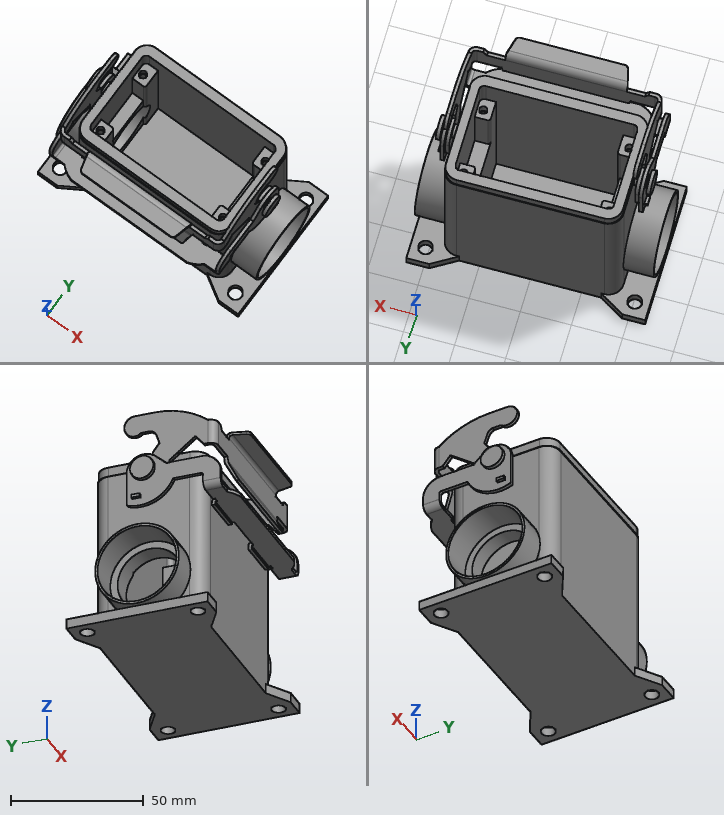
import cadquery as cq
import math

BODY_X, BODY_Y = 69.9, 45.0
BODY_CORNER = 6.0
BODY_TOP = 73.0
RIM_START = 69.0
RIM_INSET = 0.3
CAVITY_X, CAVITY_Y = 61.9, 36.1
CAVITY_CORNER = 2.0

FLANGE_X, FLANGE_Y, FLANGE_T = 93.5, 57.2, 4.0
EAR_X = 9.0
EAR_ROOT_X = 27.75
MOUNT_X, MOUNT_Y, MOUNT_D = 40.95, 22.4, 5.6

POST_INNER_X, POST_INNER_Y = 24.9, 9.9
POST_CORNER = 1.0
POST_TOP = 60.9
SCREW_X, SCREW_Y = 28.6, 13.5
SCREW_D, SCREW_DEPTH = 2.4, 12.0
SCREW_RECESS_D, SCREW_RECESS_DEPTH = 3.1, 4.0

ENTRY_Z = 22.1
ENTRY_OD, ENTRY_BORE, ENTRY_NECK = 34.0, 32.0, 26.1
ENTRY_BORE_DEPTH = 13.0
OPEN_BOSS_X = 25.8
CLOSED_BOSS_X = POST_INNER_X
CLOSED_WALL = 2.0
BOSS_TOP = ENTRY_Z + ENTRY_OD / 2

PIVOT_Z = 66.1
PIN_D = 5.3
HEAD_D, HEAD_T = 9.5, 1.6
HEAD_OUTER_X = 42.0

SHEET = 1.5

LEVER_BEND_OUT = 3.0
LEVER_BEND_IN = LEVER_BEND_OUT - SHEET
LEVER_X = 37.85
LEVER_FRONT_Y = -28.2
LEVER_LOW_Z, LEVER_HIGH_Z = 73.4, 83.4
HOOK_TOP = 91.0
HOOK_Y, HOOK_R = 4.39, 4.35
HOOK_FLAT_Y, BACK_END_Y = -3.56, -25.2
THROAT_TIP_Y = 2.8
THROAT_OUT_Y, THROAT_IN_Y, THROAT_Z = 1.75, -1.9, 83.3
THROAT_MID = (-3.5, 82.3)
THROAT_END = (-4.4, 80.6)
NECK_BACK = (-5.5, 77.4)
NECK_Y, NECK_HIGH_Z, NECK_LOW_Z = -2.8, 73.9, 71.0
GUSSET_FOOT_Y = -23.5
GUSSET_TOP = (-20.1, 77.4)
LOBE_FRONT_Z = 69.1
LOBE_Z, LOBE_R, LOBE_BACK_Y = 65.3, 9.45, 6.0
NOTCH_Z = 81.4
NOTCH_OUT_X, NOTCH_OUT_TOP_X = 30.9, 32.4
THIN_SHEET = 1.15
TAB_TIP_Y, TAB_TOP = -35.88, 84.5
TAB_BEND = 1.4
TAB_ROOT_X, TAB_TIP_X = 23.8, 21.8
FLAP_BEND_Z, FLAP_END_Z, FLAP_END_Y = 71.2, 64.5, -31.5
FLAP_ROOT_X, FLAP_TIP_X = 25.3, 22.6
FLAP_BEND_R = 2.0
GRIP_CORNER = 1.8

BAIL_BEND_OUT = 2.7
BAIL_BEND_IN = BAIL_BEND_OUT - SHEET
BAIL_X = 39.65
BAIL_LOW_Z = 53.85
BAIL_EAR_R, BAIL_EAR_Z = 7.06, 65.8
BAIL_FOOT_Y, BAIL_FOOT_Z, BAIL_FOOT_R = 1.7, 66.0, 14.8
BAIL_HEEL_CORNER = 0.8
SLOPE_END_Y = -9.25
ARM_TOP, ARM_LOW = 67.2, 60.05
ARM_BACK_Y, ARM_FRONT_Y = -23.9, -31.0
ARM_OUT_R, ARM_IN_R = 7.6, 1.0
BULGE_Y = -34.3
BULGE_ROOT_X, BULGE_X = 32.6, 27.0
BULGE_MID_X, BULGE_MID_Y = 30.2, -32.9
STOP_IN_X, STOP_OUT_X, STOP_LOW_Z = 9.8, 27.1, 52.75
STOP_CORNER, STOP_BEND = 0.8, 1.2
RELIEF_X, RELIEF_Y = 29.2, -24.7
RELIEF_CORNER = 0.5
NUB_Y, NUB_Z = (1.4, 4.7), (54.45, 55.7)
NUB_H = 1.3


def block(x0, x1, y0, y1, z0, z1):
    """Axis-aligned box between two opposite corners."""
    return cq.Workplane("XY").box(x1 - x0, y1 - y0, z1 - z0, centered=False).translate((x0, y0, z0))


def rod(x0, x1, y, z, diameter):
    """Cylinder along X."""
    return cq.Workplane("YZ", origin=(x0, 0, 0)).center(y, z).circle(diameter / 2).extrude(x1 - x0)


def both_sides(shape):
    """The shape together with its mirror image across the YZ plane."""
    return shape.union(shape.mirror("YZ"))


def mirrored_outline(half):
    """Closed outline from the points of its +X half."""
    return half + [(-x, v) for x, v in reversed(half)]


def rounded_block(size_x, size_y, z0, z1, radius):
    shape = cq.Workplane("XY", origin=(0, 0, z0)).rect(size_x, size_y).extrude(z1 - z0)
    return shape.edges("|Z").fillet(radius)


def make_flange():
    half_x, half_y, body_y = FLANGE_X / 2, FLANGE_Y / 2, BODY_Y / 2
    front = [(EAR_ROOT_X, -body_y), (half_x - EAR_X, -half_y), (half_x, -half_y)]
    back = [(x, -y) for x, y in reversed(front)]
    outline = mirrored_outline(front + back)
    holes = [(x, y) for x in (-MOUNT_X, MOUNT_X) for y in (-MOUNT_Y, MOUNT_Y)]
    flange = cq.Workplane("XY").polyline(outline).close().extrude(FLANGE_T)
    drills = cq.Workplane("XY").pushPoints(holes).circle(MOUNT_D / 2).extrude(FLANGE_T)
    return flange.cut(drills)


def make_shell():
    shell = rounded_block(BODY_X, BODY_Y, FLANGE_T, RIM_START, BODY_CORNER)
    rim_x, rim_y = BODY_X - 2 * RIM_INSET, BODY_Y - 2 * RIM_INSET
    rim = rounded_block(rim_x, rim_y, RIM_START, BODY_TOP, BODY_CORNER - RIM_INSET)
    return shell.union(rim).cut(make_cavity())


def make_cavity():
    return rounded_block(CAVITY_X, CAVITY_Y, FLANGE_T, BODY_TOP, CAVITY_CORNER)


def make_post(side_x, side_y):
    """Corner post reaching slightly into the walls, with a screw hole in its top."""
    wall_x, wall_y = BODY_X / 2 - RIM_INSET, BODY_Y / 2 - RIM_INSET
    corner = block(POST_INNER_X, wall_x, POST_INNER_Y, wall_y, FLANGE_T, POST_TOP)
    post = corner.edges("|Z and <X and <Y").fillet(POST_CORNER)
    screw_start = cq.Workplane("XY", origin=(SCREW_X, SCREW_Y, POST_TOP))
    post = post.cut(screw_start.circle(SCREW_D / 2).extrude(-SCREW_DEPTH))
    post = post.cut(screw_start.circle(SCREW_RECESS_D / 2).extrude(-SCREW_RECESS_DEPTH))
    if side_x < 0:
        post = post.mirror("YZ")
    if side_y < 0:
        post = post.mirror("XZ")
    return post


def make_posts():
    posts = make_post(1, 1)
    for side_x, side_y in ((-1, 1), (-1, -1), (1, -1)):
        posts = posts.union(make_post(side_x, side_y))
    return posts.intersect(make_cavity())


def add_entries(housing):
    """Open cable entry on -X, blind cable entry on +X."""
    tip, wall = FLANGE_X / 2, CAVITY_X / 2
    seat = tip - ENTRY_BORE_DEPTH
    open_boss = block(-wall, -OPEN_BOSS_X, -POST_INNER_Y, POST_INNER_Y, FLANGE_T, BOSS_TOP)
    closed_end = block(CLOSED_BOSS_X, wall, -CAVITY_Y / 2, CAVITY_Y / 2, FLANGE_T, BOSS_TOP)
    housing = housing.union(open_boss).union(closed_end)
    housing = housing.union(both_sides(rod(wall, tip, 0, ENTRY_Z, ENTRY_OD)))
    housing = housing.cut(both_sides(rod(seat, tip, 0, ENTRY_Z, ENTRY_BORE)))
    housing = housing.cut(rod(-seat, -POST_INNER_X, 0, ENTRY_Z, ENTRY_NECK))
    return housing.cut(rod(CLOSED_BOSS_X + CLOSED_WALL, seat, 0, ENTRY_Z, ENTRY_NECK))


def make_pins():
    inside_wall = (BODY_X + CAVITY_X) / 4
    pin = rod(inside_wall, HEAD_OUTER_X, 0, PIVOT_Z, PIN_D)
    head = rod(HEAD_OUTER_X - HEAD_T, HEAD_OUTER_X, 0, PIVOT_Z, HEAD_D)
    return both_sides(pin.union(head))


def lever_cheek_profile():
    """Hook, front edge and pivot lobe of the lever, as one prism across X."""
    hook_z = HOOK_TOP - HOOK_R
    tip_z = hook_z - math.sqrt(HOOK_R**2 - (HOOK_Y - THROAT_TIP_Y) ** 2)
    lobe_end_z = LOBE_Z - math.sqrt(LOBE_R**2 - LOBE_BACK_Y**2)
    profile = (
        cq.Workplane("YZ", origin=(-LEVER_X, 0, 0))
        .moveTo(HOOK_Y, HOOK_TOP)
        .lineTo(HOOK_FLAT_Y, HOOK_TOP)
        .tangentArcPoint((BACK_END_Y, LEVER_HIGH_Z), relative=False)
        .lineTo(LEVER_FRONT_Y, LEVER_HIGH_Z)
        .lineTo(LEVER_FRONT_Y, LEVER_LOW_Z)
        .lineTo(GUSSET_FOOT_Y, LEVER_LOW_Z)
        .lineTo(*GUSSET_TOP)
        .lineTo(-LOBE_R, LOBE_FRONT_Z)
        .lineTo(-LOBE_R, LOBE_Z)
        .tangentArcPoint((LOBE_BACK_Y, lobe_end_z), relative=False)
        .lineTo(LOBE_BACK_Y, LOBE_Z)
        .tangentArcPoint((NECK_Y, NECK_LOW_Z), relative=False)
        .lineTo(NECK_Y, NECK_HIGH_Z)
        .lineTo(*NECK_BACK)
        .lineTo(*THROAT_END)
        .threePointArc(THROAT_MID, (THROAT_IN_Y, THROAT_Z))
        .lineTo(THROAT_OUT_Y, THROAT_Z)
        .lineTo(THROAT_TIP_Y, tip_z)
        .threePointArc((HOOK_Y + HOOK_R, hook_z), (HOOK_Y, HOOK_TOP))
        .close()
    )
    return profile.extrude(2 * LEVER_X)


def make_grip_tab():
    """Tab at the lever's upper edge, bent forward."""
    bend_y = LEVER_FRONT_Y - TAB_BEND
    low_z = TAB_TOP - THIN_SHEET
    back_y = LEVER_FRONT_Y + SHEET
    back_bend = TAB_BEND + SHEET
    strip = (
        cq.Workplane("YZ", origin=(-LEVER_X, 0, 0))
        .moveTo(back_y, NOTCH_Z)
        .lineTo(back_y, TAB_TOP - back_bend)
        .tangentArcPoint((bend_y, TAB_TOP), relative=False)
        .lineTo(TAB_TIP_Y, TAB_TOP)
        .lineTo(TAB_TIP_Y, low_z)
        .lineTo(bend_y, low_z)
        .tangentArcPoint((LEVER_FRONT_Y, low_z - TAB_BEND), relative=False)
        .lineTo(LEVER_FRONT_Y, NOTCH_Z)
        .close()
        .extrude(2 * LEVER_X)
    )
    half = [(TAB_ROOT_X, 0), (TAB_ROOT_X, LEVER_FRONT_Y), (TAB_TIP_X, TAB_TIP_Y)]
    outline = cq.Workplane("XY").polyline(mirrored_outline(half)).close().extrude(HOOK_TOP)
    return strip.intersect(outline.edges("|Z and <Y").fillet(GRIP_CORNER))


def make_flap():
    """Flap below the lever's front plate, leaning outward."""
    back_y = LEVER_FRONT_Y + SHEET
    lean = math.atan2(LEVER_FRONT_Y - FLAP_END_Y, FLAP_BEND_Z - FLAP_END_Z)
    inner_end = (FLAP_END_Y + THIN_SHEET * math.cos(lean), FLAP_END_Z - THIN_SHEET * math.sin(lean))
    side = [
        (LEVER_FRONT_Y, LEVER_LOW_Z),
        (LEVER_FRONT_Y, FLAP_BEND_Z),
        (FLAP_END_Y, FLAP_END_Z),
        inner_end,
        (back_y, FLAP_BEND_Z),
        (back_y, LEVER_LOW_Z),
    ]
    strip = cq.Workplane("YZ", origin=(-LEVER_X, 0, 0)).polyline(side).close().extrude(2 * LEVER_X)
    near = THIN_SHEET / 10
    bend_box = cq.selectors.BoxSelector(
        (-near, LEVER_FRONT_Y - near, FLAP_BEND_Z - near), (near, back_y + near, FLAP_BEND_Z + near)
    )
    strip = strip.edges(bend_box).fillet(FLAP_BEND_R)
    half = [(FLAP_ROOT_X, LEVER_LOW_Z), (FLAP_TIP_X, inner_end[1])]
    outline = cq.Workplane("XZ").polyline(mirrored_outline(half)).close().extrude(FLANGE_Y)
    return strip.intersect(outline.edges("|Y and <Z").fillet(GRIP_CORNER))


def make_lever():
    back_y = HOOK_Y + 2 * HOOK_R
    outer = block(-LEVER_X, LEVER_X, LEVER_FRONT_Y, back_y, 0, HOOK_TOP)
    inner_x = LEVER_X - SHEET
    inner = block(-inner_x, inner_x, LEVER_FRONT_Y + SHEET, back_y, 0, HOOK_TOP)
    outer = outer.edges("|Z and <Y").fillet(LEVER_BEND_OUT)
    inner = inner.edges("|Z and <Y").fillet(LEVER_BEND_IN)
    lever = lever_cheek_profile().intersect(outer.cut(inner))
    half = [(NOTCH_OUT_X, NOTCH_Z), (NOTCH_OUT_TOP_X, LEVER_HIGH_Z)]
    front_notch = cq.Workplane("XZ", origin=(0, LEVER_FRONT_Y + SHEET, 0))
    front_notch = front_notch.polyline(mirrored_outline(half)).close().extrude(SHEET)
    return lever.cut(front_notch).union(make_grip_tab()).union(make_flap())


def make_bail_cheek():
    """Side plate of the bail: pivot ear, foot and the arm curving down to the cross plate."""
    bend_z = BAIL_LOW_Z + BAIL_BEND_OUT
    reach = math.hypot(SLOPE_END_Y, ARM_TOP - BAIL_EAR_Z)
    tangent = math.atan2(ARM_TOP - BAIL_EAR_Z, SLOPE_END_Y) - math.acos(BAIL_EAR_R / reach)
    ear_end = (BAIL_EAR_R * math.cos(tangent), BAIL_EAR_Z + BAIL_EAR_R * math.sin(tangent))
    foot_y = BAIL_FOOT_Y - math.sqrt(BAIL_FOOT_R**2 - (BAIL_FOOT_Z - ARM_LOW) ** 2)
    heel_z = BAIL_FOOT_Z - math.sqrt(BAIL_FOOT_R**2 - (BAIL_EAR_R - BAIL_FOOT_Y) ** 2)
    cheek = (
        cq.Workplane("YZ", origin=(BAIL_X - SHEET, 0, 0))
        .moveTo(BAIL_EAR_R, heel_z)
        .lineTo(BAIL_EAR_R, BAIL_EAR_Z)
        .threePointArc((0, BAIL_EAR_Z + BAIL_EAR_R), ear_end)
        .lineTo(SLOPE_END_Y, ARM_TOP)
        .lineTo(ARM_FRONT_Y + ARM_OUT_R, ARM_TOP)
        .tangentArcPoint((ARM_FRONT_Y, ARM_TOP - ARM_OUT_R), relative=False)
        .lineTo(ARM_FRONT_Y, bend_z)
        .lineTo(ARM_BACK_Y, bend_z)
        .lineTo(ARM_BACK_Y, ARM_LOW - ARM_IN_R)
        .tangentArcPoint((ARM_BACK_Y + ARM_IN_R, ARM_LOW), relative=False)
        .lineTo(foot_y, ARM_LOW)
        .threePointArc((BAIL_FOOT_Y, BAIL_FOOT_Z - BAIL_FOOT_R), (BAIL_EAR_R, heel_z))
        .close()
        .extrude(SHEET)
    )
    nub = block(BAIL_X, BAIL_X + NUB_H, NUB_Y[0], NUB_Y[1], NUB_Z[0], NUB_Z[1])
    return cheek.edges("|X and >Y and <Z").fillet(BAIL_HEEL_CORNER).union(nub)


def make_bail_bend():
    """Quarter bend between the cheek and the cross plate."""
    bend_z = BAIL_LOW_Z + BAIL_BEND_OUT
    bend_x = BAIL_X - BAIL_BEND_OUT
    bend = (
        cq.Workplane("XZ", origin=(0, ARM_BACK_Y, 0))
        .moveTo(BAIL_X, bend_z)
        .radiusArc((bend_x, BAIL_LOW_Z), BAIL_BEND_OUT)
        .lineTo(bend_x, BAIL_LOW_Z + SHEET)
        .radiusArc((BAIL_X - SHEET, bend_z), -BAIL_BEND_IN)
        .close()
    )
    return bend.extrude(ARM_BACK_Y - ARM_FRONT_Y)


def make_cross_plate():
    """Flat plate joining the cheeks, with a bulged front edge and relief notches at the back."""
    bend_x = BAIL_X - BAIL_BEND_OUT
    plate = (
        cq.Workplane("XY", origin=(0, 0, BAIL_LOW_Z))
        .moveTo(-bend_x, ARM_BACK_Y)
        .lineTo(-bend_x, ARM_FRONT_Y)
        .lineTo(-BULGE_ROOT_X, ARM_FRONT_Y)
        .threePointArc((-BULGE_MID_X, BULGE_MID_Y), (-BULGE_X, BULGE_Y))
        .lineTo(BULGE_X, BULGE_Y)
        .threePointArc((BULGE_MID_X, BULGE_MID_Y), (BULGE_ROOT_X, ARM_FRONT_Y))
        .lineTo(bend_x, ARM_FRONT_Y)
        .lineTo(bend_x, ARM_BACK_Y)
        .close()
        .extrude(SHEET)
    )
    top = BAIL_LOW_Z + SHEET
    centre = block(-STOP_IN_X, STOP_IN_X, RELIEF_Y, ARM_BACK_Y, BAIL_LOW_Z, top)
    centre = centre.edges("|Z and <Y").fillet(RELIEF_CORNER)
    side = block(STOP_OUT_X, RELIEF_X, RELIEF_Y, ARM_BACK_Y, BAIL_LOW_Z, top)
    return plate.cut(centre).cut(both_sides(side))


def make_stop():
    """Lip of the cross plate, bent down against the body's front wall."""
    wall_y = -BODY_Y / 2
    stop = block(STOP_IN_X, STOP_OUT_X, ARM_BACK_Y, wall_y, STOP_LOW_Z, BAIL_LOW_Z + SHEET)
    stop = stop.edges("|X and >Y and >Z").fillet(STOP_BEND)
    return stop.edges("|Y and <X and <Z").fillet(STOP_CORNER)


def make_bail():
    sides = make_bail_cheek().union(make_bail_bend()).union(make_stop())
    return make_cross_plate().union(both_sides(sides))


housing = make_flange().union(make_shell()).union(make_posts())
housing = add_entries(housing)
result = housing.union(make_pins()).union(make_lever()).union(make_bail())